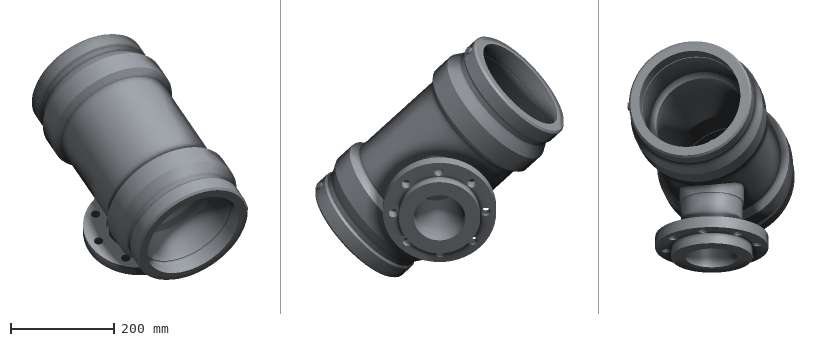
import cadquery as cq

total_length = 451.0
total_height = 375.5
half_length = total_length / 2
body_radius = 235.0 / 2
ring_radius = 242.5 / 2
bell_radius = 261.0 / 2
bore_radius = 180.0 / 2
socket_radius = 200.0 / 2
socket_depth = 113.5

ring_start = 4.0
ring_end = 31.0
neck_start = 35.0
neck_end = 45.5
bell_start = 69.0
bell_end = 110.0
body_start = 123.0

taper_end = body_start

groove_start = ring_end
groove_end = neck_start
groove_depth = 1.5

pip_radius = 7.5
pip_top = 125.5

collar_radius = 125.0 / 2
collar_bottom = -131.5
branch_radius = 120.0 / 2
branch_bore_radius = 100.0 / 2
branch_bottom = bell_radius - total_height

flange_radius = 220.0 / 2
flange_bore_radius = 130.0 / 2
flange_top = -201.0
flange_bottom = -223.5
stub_radius = 158.0 / 2
bolt_circle_radius = 180.0 / 2
bolt_hole_diameter = 18.0
bolt_count = 8


def vertical_cylinder(radius, bottom, top):
    return cq.Workplane("XY").workplane(offset=bottom).circle(radius).extrude(top - bottom)


def revolve_about_pipe(half_profile):
    """Mirror a list of (distance from end, radius) points and revolve it about X."""
    left = [(distance - half_length, radius) for distance, radius in half_profile]
    right = [(-x, radius) for x, radius in reversed(left)]
    outline = [(-half_length, 0)] + left + right + [(half_length, 0)]
    return cq.Workplane("XY").polyline(outline).close().revolve(360, (0, 0, 0), (1, 0, 0))


def make_pipe():
    return revolve_about_pipe([
        (0, body_radius),
        (ring_start, ring_radius),
        (ring_end, ring_radius),
        (neck_start, body_radius),
        (neck_end, body_radius),
        (bell_start, bell_radius),
        (bell_end, bell_radius),
        (body_start, body_radius),
    ])


def make_pipe_bore():
    groove_radius = socket_radius + groove_depth
    return revolve_about_pipe([
        (0, socket_radius),
        (groove_start, socket_radius),
        (groove_start, groove_radius),
        (groove_end, groove_radius),
        (groove_end, socket_radius),
        (socket_depth, socket_radius),
        (taper_end, bore_radius),
    ])


def make_pips():
    offset = half_length - (ring_start + ring_end) / 2
    return (
        cq.Workplane("XZ", origin=(0, pip_top, 0))
        .pushPoints([(-offset, 0), (offset, 0)])
        .circle(pip_radius)
        .extrude(pip_top - (socket_radius + body_radius) / 2)
    )


def make_branch():
    collar = vertical_cylinder(collar_radius, collar_bottom, 0)
    tube = vertical_cylinder(branch_radius, branch_bottom, 0)
    stub = vertical_cylinder(stub_radius, branch_bottom, flange_bottom)
    return collar.union(tube).union(stub)


def make_flange():
    flange = vertical_cylinder(flange_radius, flange_bottom, flange_top)
    clearance = vertical_cylinder(flange_bore_radius, flange_bottom, flange_top)
    return (
        flange.cut(clearance)
        .faces(">Z").workplane(origin=(0, 0, flange_top))
        .polarArray(bolt_circle_radius, 0, 360, bolt_count)
        .hole(bolt_hole_diameter)
    )


outside = make_pipe().union(make_pips()).union(make_branch()).union(make_flange())
branch_bore = vertical_cylinder(branch_bore_radius, branch_bottom, 0)
result = outside.cut(make_pipe_bore()).cut(branch_bore)